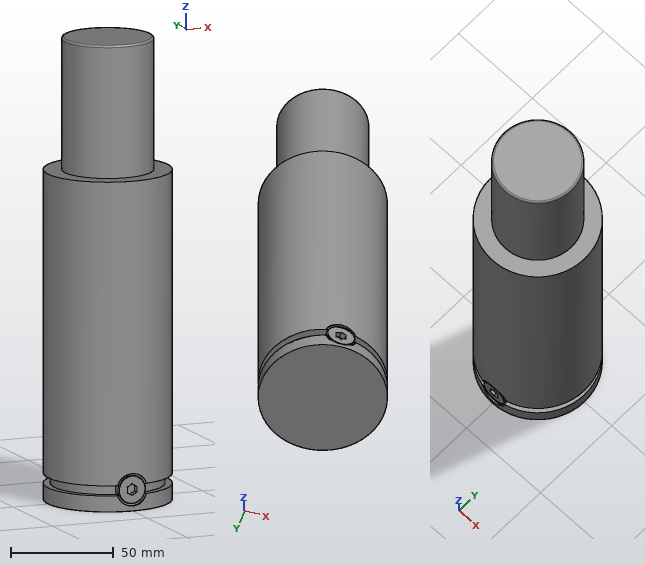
import cadquery as cq
import math

overall_height = 230.0

body_diameter = 63.0
body_height = 164.0
body_radius = body_diameter / 2

rod_diameter = 45.0
rod_edge_radius = 1.0

groove_bottom = 8.0
groove_width = 5.0
groove_depth = 3.5

plug_height = groove_bottom + groove_width / 2
pocket_diameter = 16.0
pocket_depth = 1.0

plug_diameter = 14.5
plug_face_distance = 30.75
plug_chamfer = 0.5
plug_length = 6.0

socket_across_flats = 5.0
socket_across_corners = socket_across_flats / math.cos(math.pi / 6)
socket_depth = 3.0


def make_body():
    return cq.Workplane("XY").circle(body_radius).extrude(body_height)


def make_rod():
    rod_length = overall_height - body_height
    base = cq.Workplane("XY", origin=(0, 0, body_height))
    rod = base.circle(rod_diameter / 2).extrude(rod_length)
    return rod.faces(">Z").fillet(rod_edge_radius)


def make_groove():
    return (
        cq.Workplane("XY", origin=(0, 0, groove_bottom))
        .circle(body_radius)
        .circle(body_radius - groove_depth)
        .extrude(groove_width)
    )


def plug_plane(distance):
    """Workplane facing -Y, at the plug's height and the given distance from the body axis."""
    return cq.Workplane("XZ", origin=(0, -distance, plug_height))


def make_plug_pocket():
    return plug_plane(body_radius).circle(pocket_diameter / 2).extrude(-pocket_depth)


def make_plug():
    plug = plug_plane(plug_face_distance).circle(plug_diameter / 2).extrude(-plug_length)
    return plug.faces("<Y").chamfer(plug_chamfer)


def make_socket():
    return (
        plug_plane(plug_face_distance)
        .transformed(rotate=(0, 0, 90))
        .polygon(6, socket_across_corners)
        .extrude(-socket_depth)
    )


result = (
    make_body()
    .union(make_rod())
    .cut(make_groove())
    .cut(make_plug_pocket())
    .union(make_plug())
    .cut(make_socket())
)